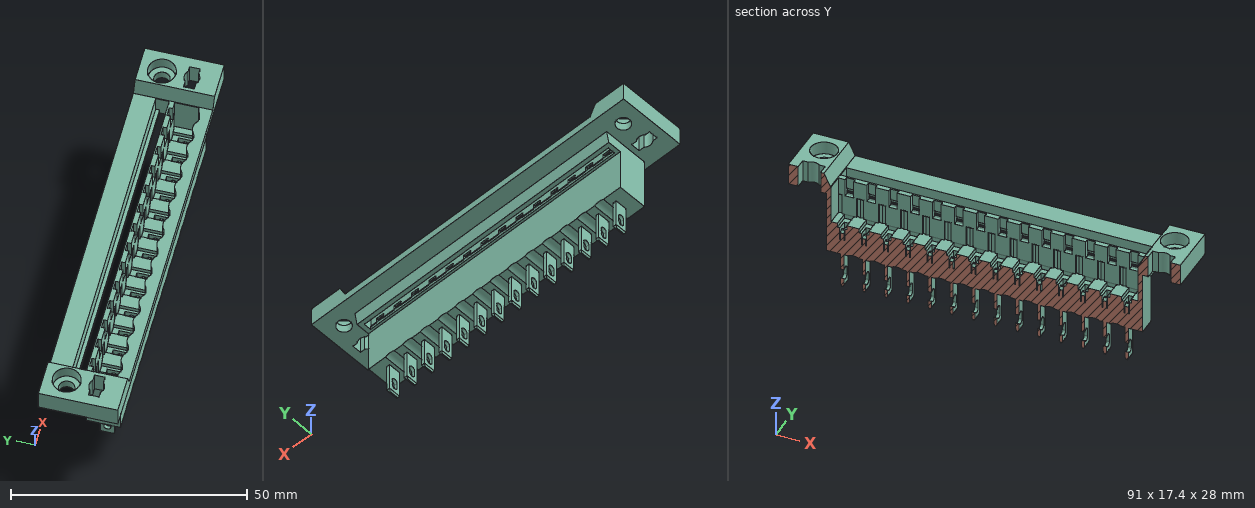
import cadquery as cq


FLANGE_LENGTH = 91.04
FLANGE_WIDTH = 17.4
FLANGE_BOTTOM_Z = -5.2
RIM_Z = -3.05
BLOCK_TOP_LENGTH = 8.3
BLOCK_FOOT_LENGTH = 9.8

CONTACT_COUNT = 14
PITCH = 5.08
CONTACT_Y = -3.3
CONTACT_XS = [(i - (CONTACT_COUNT - 1) / 2) * PITCH for i in range(CONTACT_COUNT)]
GAP_XS = [x + PITCH / 2 for x in CONTACT_XS[:-1]]

BODY_LENGTH = 73.4
BODY_FRONT_Y = -7.05
BODY_BACK_Y = 0.4
BODY_BOTTOM_Z = -19.8
LEDGE_TOP_Y = 4.6
LEDGE_BOTTOM_Y = 3.95
LEDGE_BOTTOM_Z = -8.2
BOTTOM_GROOVE_WIDTH = 2.6
BOTTOM_GROOVE_DEPTH = 0.35

CAVITY_LENGTH = CONTACT_COUNT * PITCH
CAVITY_FLOOR_Z = -12.0
CAVITY_BACK_Y = 3.75
CHANNEL_BACK_Y = 2.9
CHANNEL_STEP_Z = -7.0
COMB_BACK_Y = 0.8
COMB_BASE_BACK_Y = 1.0
COMB_FRONT_Y = -0.4
SCALLOP_JOINT_Y = -6.15
SCALLOP_WIDTH = 2.2
SCALLOP_DEPTH = 0.3
GAP_ARC_RISE = 0.5
COMB_SLOT_WIDTH = 1.95
COMB_SLOT_BACK_Y = 0.4
COMB_SLOT_FLOOR_Z = -7.2
COMB_WINDOW_TOP_Z = -5.75
COMB_RECESS_WIDTH = 1.6
COMB_RECESS_DEPTH = 0.5
COMB_RIDGE_DEPTH = 0.1
TROUGH_DEPTH = 1.0

BLADE_THICKNESS = 0.85
BLADE_WIDTH = 3.1
BLADE_BOTTOM_Z = -28.0
BLADE_TIP_HEIGHT = 0.5
BLADE_TIP_INSET = 0.4
BLADE_TIP_THICKNESS = 0.3
BLADE_EYE_WIDTH = 1.5
BLADE_EYE_LENGTH = 3.1
BLADE_EYE_Z = -24.75
POCKET_LENGTH_X = 1.1
POCKET_DEPTH = 3.0
LEAD_SETBACK = 0.75
LEAD_HEIGHT = 1.5
LEAD_FLAT = 0.5

MOUNT_X = FLANGE_LENGTH / 2 - 4.8
SCREW_Y = 3.7
SCREW_HOLE_DIAMETER = 3.5
COUNTERBORE_DIAMETER = 6.1
COUNTERBORE_DEPTH = 3.0
KEY_X = MOUNT_X - 0.1
KEY_Y = -2.85
KEY_LENGTH = 5.2
KEY_WIDTH = 2.3
KEY_BULGE_WIDTH = 2.6
KEY_BULGE_HEIGHT = 0.5


def box(x_range, y_range, z_range):
    """Axis-aligned box given by its limits."""
    size = [high - low for low, high in (x_range, y_range, z_range)]
    corner = (x_range[0], y_range[0], z_range[0])
    return cq.Workplane("XY").box(*size, centered=False).translate(corner)


def centred(middle, length):
    """Limits of a length centred on a middle."""
    return middle - length / 2, middle + length / 2


def profile_along_x(points, x_range):
    """Prism along X from (Y, Z) points."""
    sketch = cq.Workplane("YZ", origin=(x_range[0], 0, 0)).polyline(points).close()
    return sketch.extrude(x_range[1] - x_range[0])


def make_flange():
    half = FLANGE_LENGTH / 2
    top = half - BLOCK_TOP_LENGTH
    foot = half - BLOCK_FOOT_LENGTH
    outline = [
        (-half, FLANGE_BOTTOM_Z), (half, FLANGE_BOTTOM_Z), (half, 0), (top, 0),
        (foot, RIM_Z), (-foot, RIM_Z), (-top, 0), (-half, 0),
    ]
    sketch = cq.Workplane("XZ").polyline(outline).close()
    return sketch.extrude(FLANGE_WIDTH / 2, both=True)


def make_body():
    outline = [
        (BODY_FRONT_Y, RIM_Z), (BODY_FRONT_Y, BODY_BOTTOM_Z),
        (BODY_BACK_Y, BODY_BOTTOM_Z), (BODY_BACK_Y, LEDGE_BOTTOM_Z),
        (LEDGE_BOTTOM_Y, LEDGE_BOTTOM_Z), (LEDGE_TOP_Y, FLANGE_BOTTOM_Z),
        (LEDGE_TOP_Y, RIM_Z),
    ]
    return profile_along_x(outline, centred(0, BODY_LENGTH))


def make_bottom_grooves():
    grooves = cq.Workplane("XZ", origin=(0, BODY_BACK_Y, 0))
    for x in GAP_XS:
        left, right = centred(x, BOTTOM_GROOVE_WIDTH)
        grooves = (
            grooves.moveTo(left, BODY_BOTTOM_Z)
            .threePointArc((x, BODY_BOTTOM_Z + BOTTOM_GROOVE_DEPTH), (right, BODY_BOTTOM_Z))
            .close()
        )
    return grooves.extrude(BODY_BACK_Y - BODY_FRONT_Y)


def make_cavity():
    """Contact chamber in front of the comb, with a scalloped front wall."""
    half = CAVITY_LENGTH / 2
    end_y = SCALLOP_JOINT_Y + GAP_ARC_RISE
    outline = cq.Workplane("XY", origin=(0, 0, CAVITY_FLOOR_Z))
    outline = outline.moveTo(-half, COMB_FRONT_Y).lineTo(-half, end_y)
    for x in CONTACT_XS:
        left, right = centred(x, SCALLOP_WIDTH)
        if x == CONTACT_XS[0]:
            outline = outline.lineTo(left, SCALLOP_JOINT_Y)
        else:
            outline = outline.threePointArc((x - PITCH / 2, end_y), (left, SCALLOP_JOINT_Y))
        outline = outline.threePointArc((x, SCALLOP_JOINT_Y - SCALLOP_DEPTH), (right, SCALLOP_JOINT_Y))
    outline = outline.lineTo(half, end_y).lineTo(half, COMB_FRONT_Y).close()
    return outline.extrude(RIM_Z - CAVITY_FLOOR_Z)


def make_back_channel():
    """Stepped channel behind the comb, open at the bottom of the ledge."""
    outline = [
        (COMB_BACK_Y, RIM_Z), (COMB_BACK_Y, COMB_SLOT_FLOOR_Z),
        (COMB_BASE_BACK_Y, COMB_SLOT_FLOOR_Z), (COMB_BASE_BACK_Y, LEDGE_BOTTOM_Z),
        (CHANNEL_BACK_Y, LEDGE_BOTTOM_Z), (CHANNEL_BACK_Y, CHANNEL_STEP_Z),
        (CAVITY_BACK_Y, CHANNEL_STEP_Z), (CAVITY_BACK_Y, RIM_Z),
    ]
    return profile_along_x(outline, centred(0, CAVITY_LENGTH))


def make_comb_recesses():
    """Recesses low in the comb midway between contacts, each with a V-ridge at its back."""
    back_y = COMB_FRONT_Y + COMB_RECESS_DEPTH
    recesses = cq.Workplane("XY", origin=(0, 0, CAVITY_FLOOR_Z))
    for i in range(CONTACT_COUNT + 1):
        x = (i - CONTACT_COUNT / 2) * PITCH
        left, right = centred(x, COMB_RECESS_WIDTH)
        outline = [
            (left, COMB_FRONT_Y), (left, back_y), (x, COMB_FRONT_Y + COMB_RIDGE_DEPTH),
            (right, back_y), (right, COMB_FRONT_Y),
        ]
        recesses = recesses.polyline(outline).close()
    recesses = recesses.extrude(COMB_SLOT_FLOOR_Z - CAVITY_FLOOR_Z)
    recess_z = (CAVITY_FLOOR_Z, COMB_SLOT_FLOOR_Z)
    return recesses.intersect(box(centred(0, CAVITY_LENGTH), (COMB_FRONT_Y, back_y), recess_z))


def make_contact_cuts(x):
    """Comb slot with its rear window, floor trough and blade pocket of one contact."""
    slot_x = centred(x, COMB_SLOT_WIDTH)
    trough_z = CAVITY_FLOOR_Z - TROUGH_DEPTH
    slot = box(slot_x, (COMB_FRONT_Y, COMB_SLOT_BACK_Y), (COMB_SLOT_FLOOR_Z, RIM_Z))
    window = box(slot_x, (COMB_SLOT_BACK_Y, COMB_BACK_Y), (COMB_SLOT_FLOOR_Z, COMB_WINDOW_TOP_Z))
    trough = box(centred(x, SCALLOP_WIDTH), (SCALLOP_JOINT_Y, COMB_FRONT_Y), (trough_z, CAVITY_FLOOR_Z))
    pocket_z = (trough_z - POCKET_DEPTH, trough_z)
    pocket = box(centred(x, POCKET_LENGTH_X), centred(CONTACT_Y, BLADE_WIDTH), pocket_z)
    return [part.val() for part in (slot, window, trough, pocket)]


def make_blade(x):
    """Contact blade with a roof-shaped upper end, an eye and a tapered lower tip."""
    front, back = centred(CONTACT_Y, BLADE_WIDTH)
    lead_front, lead_back = centred(CONTACT_Y, LEAD_FLAT)
    top = CAVITY_FLOOR_Z - TROUGH_DEPTH - LEAD_SETBACK
    shoulder = top - LEAD_HEIGHT
    tip_z = BLADE_BOTTOM_Z + BLADE_TIP_HEIGHT
    outline = [
        (front, tip_z), (back, tip_z), (back, shoulder),
        (lead_back, top), (lead_front, top), (front, shoulder),
    ]
    thickness = centred(x, BLADE_THICKNESS)
    shank = profile_along_x(outline, thickness)
    tip = (
        cq.Workplane("XY", origin=(x, CONTACT_Y, tip_z))
        .rect(BLADE_THICKNESS, BLADE_WIDTH)
        .workplane(offset=-BLADE_TIP_HEIGHT)
        .rect(BLADE_TIP_THICKNESS, BLADE_WIDTH - 2 * BLADE_TIP_INSET)
        .loft()
    )
    eye = (
        cq.Workplane("YZ", origin=(thickness[0], CONTACT_Y, BLADE_EYE_Z))
        .slot2D(BLADE_EYE_LENGTH, BLADE_EYE_WIDTH, 90)
        .extrude(BLADE_THICKNESS)
    )
    return shank.union(tip).cut(eye)


def make_key_opening(side):
    """Rectangular through opening with a shallow arc bulging from both long sides."""
    x = side * MOUNT_X
    bulge_left, bulge_right = centred(x, KEY_BULGE_WIDTH)
    front, back = centred(KEY_Y, KEY_WIDTH)
    rectangle = cq.Workplane("XY").center(side * KEY_X, KEY_Y).rect(KEY_LENGTH, KEY_WIDTH)
    bulges = (
        cq.Workplane("XY")
        .moveTo(bulge_left, front)
        .threePointArc((x, front - KEY_BULGE_HEIGHT), (bulge_right, front))
        .lineTo(bulge_right, back)
        .threePointArc((x, back + KEY_BULGE_HEIGHT), (bulge_left, back))
        .close()
    )
    return rectangle.extrude(FLANGE_BOTTOM_Z).union(bulges.extrude(FLANGE_BOTTOM_Z))


def make_screw_hole(side):
    """Counterbored through hole."""
    base = cq.Workplane("XY").center(side * MOUNT_X, SCREW_Y)
    hole = base.circle(SCREW_HOLE_DIAMETER / 2).extrude(FLANGE_BOTTOM_Z)
    bore = base.circle(COUNTERBORE_DIAMETER / 2).extrude(-COUNTERBORE_DEPTH)
    return hole.union(bore)


housing = make_flange().union(make_body())
housing = housing.cut(make_cavity()).cut(make_back_channel())
housing = housing.cut(make_bottom_grooves()).cut(make_comb_recesses())
for side in (-1, 1):
    housing = housing.cut(make_screw_hole(side)).cut(make_key_opening(side))

contact_cuts = [cut for x in CONTACT_XS for cut in make_contact_cuts(x)]
housing = cq.Workplane(housing.val().cut(*contact_cuts))
blades = [make_blade(x).val() for x in CONTACT_XS]
result = cq.Workplane(housing.val().fuse(*blades))